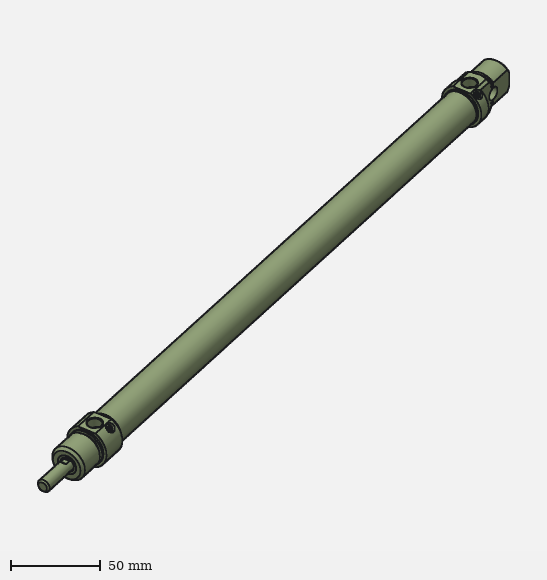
import cadquery as cq
import math

total_length = 451.0

head_diameter = 26.5
head_length = 16.0
shoulder_diameter = 22.5
shoulder_length = 1.5
head_height = 25.3
neck_diameter = 19.0
collar_diameter = 22.0
spigot_diameter = 18.0
spigot_length = 13.5

tube_diameter = 21.5

rod_projection = 24.0
collar_length = 16.5
front_neck_length = 2.0
front_rim_length = 2.5
collar_chamfer = 2.0

eye_width = 16.0
eye_end_chamfer = 2.0
eye_length = 16.0
rear_neck_length = 2.0
rear_cone_length = 2.3
slab_length = 28.5
pin_hole_diameter = 8.0
pin_hole_from_end = 16.0

rod_diameter = 8.0
rod_tip_diameter = 6.0
wrench_flat_width = 7.0
wrench_flat_length = 3.5

wiper_diameter = 12.0
wiper_length = 2.3
wiper_inset = 0.5
wiper_lip_chamfer = 0.5

port_diameter = 8.5
port_chamfer = 0.5
port_angle = 90.0
port_core_diameter = 12.0
screw_pocket_diameter = 6.0
screw_pocket_depth = 2.3
screw_diameter = 3.5
screw_length = 3.5
screw_top_diameter = 2.5
screw_socket_diameter = 2.0
screw_socket_depth = 1.0
screw_angle = 50.0
dimple_diameter = 2.0
dimple_depth = 1.5
dimple_angle = 213.0
front_screw_offset = 3.0
rear_screw_offset = 4.0

head_radius = head_diameter / 2
head_flat_height = head_height - head_radius

collar_front = rod_projection
collar_rear = collar_front + collar_length
front_shoulder_start = collar_rear + front_neck_length
front_head_start = front_shoulder_start + shoulder_length
front_head_end = front_head_start + head_length
tube_start = front_head_end + front_rim_length
eye_start = total_length - eye_length
rear_cone_end = eye_start - rear_neck_length
rear_head_end = rear_cone_end - rear_cone_length
rear_head_start = rear_head_end - head_length
tube_end = rear_head_start - shoulder_length
front_port_y = (front_head_start + front_head_end) / 2
rear_port_y = (rear_head_start + rear_head_end) / 2
front_screw_y = front_port_y + front_screw_offset
rear_screw_y = rear_port_y - rear_screw_offset


def cylinder(diameter, start, end):
    """Cylinder on the part axis between two Y stations."""
    return cq.Workplane("XZ", origin=(0, start, 0)).circle(diameter / 2).extrude(start - end)


def outward(angle):
    """Unit vector square to the axis; angle runs from +X to +Z."""
    return cq.Vector(math.cos(math.radians(angle)), 0, math.sin(math.radians(angle)))


def radial_cylinder(diameter, y, angle, inner, outer):
    """Cylinder square to the axis, between two distances from it."""
    foot = cq.Vector(0, y, 0) + outward(angle) * inner
    return cq.Workplane(cq.Solid.makeCylinder(diameter / 2, outer - inner, foot, outward(angle)))


def head_block(start):
    """Large disc of a head with its shoulder on the -Y side."""
    end = start + head_length
    return cylinder(head_diameter, start, end).union(
        cylinder(shoulder_diameter, start - shoulder_length, start))


def cut_top_flat(head):
    """Port face: everything above it is removed along the whole head."""
    above_flat = cq.Workplane("XY", origin=(0, total_length / 2, head_flat_height)).box(
        head_diameter, total_length, head_radius, centered=(True, True, False))
    return head.cut(above_flat)


def cut_port_and_screw_holes(head, port_y, screw_y):
    """Port face and port on top, screw pocket with its bore, and the small dimple on the other side."""
    port = radial_cylinder(port_diameter, port_y, port_angle, 0, head_flat_height)
    countersink = cq.Workplane("XY", origin=(0, port_y, head_flat_height)).circle(
        port_diameter / 2 + port_chamfer).workplane(offset=-port_chamfer).circle(
        port_diameter / 2).loft(combine=True)
    core = cylinder(port_core_diameter, port_y - port_diameter, port_y + port_diameter)
    port = port.union(countersink).cut(core)
    pocket_floor = head_radius - screw_pocket_depth
    pocket = radial_cylinder(screw_pocket_diameter, screw_y, screw_angle, pocket_floor, head_diameter)
    bore = radial_cylinder(screw_diameter, screw_y, screw_angle, pocket_floor - screw_length, pocket_floor)
    dimple = radial_cylinder(
        dimple_diameter, screw_y, dimple_angle, head_radius - dimple_depth, head_diameter)
    return cut_top_flat(head).cut(port).cut(pocket).cut(bore).cut(dimple)


def make_front_head():
    collar = cylinder(collar_diameter, collar_front, collar_rear).faces("<Y").chamfer(collar_chamfer)
    head = collar.union(cylinder(neck_diameter, collar_rear, front_shoulder_start))
    head = head.union(head_block(front_head_start))
    head = head.union(cylinder(tube_diameter, front_head_end, tube_start))
    head = head.union(cylinder(spigot_diameter, tube_start, tube_start + spigot_length))
    head = head.cut(cylinder(wiper_diameter, collar_front, collar_front + wiper_inset + wiper_length))
    head = head.cut(cylinder(rod_diameter, collar_front, tube_start + spigot_length))
    return cut_port_and_screw_holes(head, front_port_y, front_screw_y)


def make_rear_head():
    eye = cylinder(collar_diameter, eye_start, total_length).faces(">Y").chamfer(eye_end_chamfer)
    head = eye.union(cylinder(neck_diameter, rear_head_end, eye_start))
    head = head.union(cq.Workplane(cq.Solid.makeCone(
        head_radius, head_radius - rear_cone_length, rear_cone_length,
        cq.Vector(0, rear_head_end, 0), cq.Vector(0, 1, 0))))
    head = head.union(head_block(rear_head_start))
    head = head.union(cylinder(spigot_diameter, tube_end - spigot_length, tube_end))
    for side in (-1, 1):
        beside_eye = cq.Workplane("XY").box(head_diameter, slab_length, head_diameter).translate(
            (side * (eye_width + head_diameter) / 2, total_length - slab_length / 2, 0))
        head = head.cut(beside_eye)
    pin_hole = cq.Workplane("YZ", origin=(0, total_length - pin_hole_from_end, 0)).circle(
        pin_hole_diameter / 2).extrude(eye_width, both=True)
    return cut_port_and_screw_holes(head.cut(pin_hole), rear_port_y, rear_screw_y)


def make_tube():
    tube = cylinder(tube_diameter, tube_start, tube_end)
    return tube.cut(cylinder(spigot_diameter, tube_start, tube_end))


def make_rod():
    """Piston rod with a chamfered tip and two wrench flats just outside the collar."""
    rod = cylinder(rod_diameter, 0, tube_start + spigot_length)
    rod = rod.faces("<Y").chamfer((rod_diameter - rod_tip_diameter) / 2)
    for side in (-1, 1):
        beyond_flat = cq.Workplane("XY").box(rod_diameter, wrench_flat_length, rod_diameter).translate(
            (0, collar_front - wrench_flat_length / 2, side * (wrench_flat_width + rod_diameter) / 2))
        rod = rod.cut(beyond_flat)
    return rod


def make_wiper():
    start = collar_front + wiper_inset
    wiper = cylinder(wiper_diameter, start, start + wiper_length)
    wiper = wiper.cut(cylinder(rod_diameter, start, start + wiper_length))
    return wiper.faces("<Y").edges(cq.selectors.RadiusNthSelector(0)).chamfer(wiper_lip_chamfer)


def make_screw(y):
    """Cushion screw with a round socket, filling its bore up to the pocket floor."""
    top = head_radius - screw_pocket_depth
    screw = radial_cylinder(screw_diameter, y, screw_angle, top - screw_length, top)
    screw = screw.faces(cq.selectors.DirectionMinMaxSelector(outward(screw_angle))).chamfer(
        (screw_diameter - screw_top_diameter) / 2)
    socket = radial_cylinder(screw_socket_diameter, y, screw_angle, top - screw_socket_depth, top)
    return screw.cut(socket)


front_head = make_front_head()
rear_head = make_rear_head()
tube = make_tube()
rod = make_rod()
wiper = make_wiper()
screws = [make_screw(y) for y in (front_screw_y, rear_screw_y)]

result = cq.Compound.makeCompound([
    front_head.val(),
    rear_head.val(),
    tube.val(),
    rod.val(),
    wiper.val(),
    *[screw.val() for screw in screws],
])